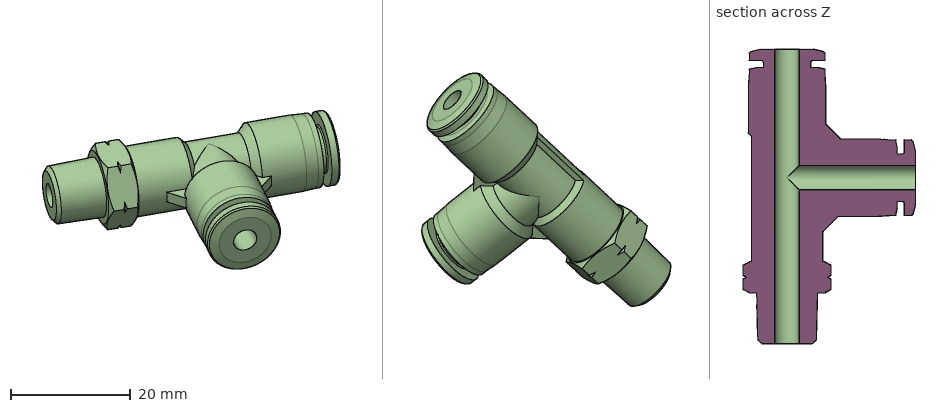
import cadquery as cq
import math


neck_radius = 5.05
rib_thickness = 1.95
bore_radius = 2.0

port_radius = 6.5
shoulder_start = 5.95
port_start = shoulder_start + port_radius - neck_radius
taper_start = 15.15
rim_start = 17.25
rim_end = 18.2
rim_radius = 6.35
port_face = 18.45
port_face_radius = 5.15
sleeve_radius = 4.0
collar_start = 19.55
collar_edge = 20.8
collar_bevel = 21.1
collar_bevel_radius = 6.1
port_end = 21.5
port_end_radius = 4.55
sleeve_root_length = 0.25
sleeve_root_radius = 4.2

stem_radius = 6.0
stem_cone_start = 3.55
stem_start = stem_cone_start + stem_radius - neck_radius

hex_start = 14.0
hex_end = 19.35
hex_across_flats = 12.75
hex_corner_radius = hex_across_flats / math.sqrt(3)
hex_face_radius = 6.25
hex_bevel_angle = math.radians(30)
groove_bottom_radius = 6.85
groove_half_width = 0.3

thread_end = 27.8
thread_root_radius = 5.15
thread_tip_radius = 4.95
thread_bevel_length = 0.65
thread_face_radius = 4.2

port_web_reach = 15.5
stem_web_reach = 15.05


def turned(profile):
    """Revolve (radius, distance) points about the Y axis."""
    outline = [(0, profile[0][1])] + profile + [(0, profile[-1][1])]
    return cq.Workplane("XY").polyline(outline).close().revolve(360, (0, 0, 0), (0, 1, 0))


def plate(outline):
    """Flat web of rib thickness, centred on the XY plane."""
    return cq.Workplane("XY").polyline(outline).close().extrude(rib_thickness / 2, both=True)


def make_port():
    """Port body with release collar, pointing along +Y from the tee centre."""
    return turned([
        (neck_radius, 0),
        (neck_radius, shoulder_start),
        (port_radius, port_start),
        (port_radius, taper_start),
        (rim_radius, rim_start),
        (rim_radius, rim_end),
        (port_face_radius, port_face),
        (sleeve_radius, port_face),
        (sleeve_radius, collar_start - sleeve_root_length),
        (sleeve_root_radius, collar_start),
        (rim_radius, collar_start),
        (rim_radius, collar_edge),
        (collar_bevel_radius, collar_bevel),
        (port_end_radius, port_end),
    ])


def make_stem():
    """Round body between the tee centre and the hexagon."""
    return turned([
        (neck_radius, 0),
        (neck_radius, -stem_cone_start),
        (stem_radius, -stem_start),
        (stem_radius, -hex_start),
    ])


def make_hexagon():
    """Hexagon with bevelled corners and a V groove across each corner."""
    middle = -(hex_start + hex_end) / 2
    bevel_length = (hex_corner_radius - hex_face_radius) * math.tan(hex_bevel_angle)
    prism = (
        cq.Workplane("XZ", origin=(0, -hex_start, 0))
        .polygon(6, 2 * hex_corner_radius)
        .extrude(hex_end - hex_start)
    )
    envelope = turned([
        (hex_face_radius, -hex_start),
        (hex_corner_radius, -hex_start - bevel_length),
        (hex_corner_radius, middle + groove_half_width),
        (groove_bottom_radius, middle),
        (hex_corner_radius, middle - groove_half_width),
        (hex_corner_radius, -hex_end + bevel_length),
        (hex_face_radius, -hex_end),
    ])
    return prism.intersect(envelope)


def make_thread():
    """Tapered plain thread body with a bevelled tip."""
    return turned([
        (thread_root_radius, -hex_end),
        (thread_tip_radius, -thread_end + thread_bevel_length),
        (thread_face_radius, -thread_end),
    ])


def make_back_rib():
    """Rib bridging the waist opposite the branch, its outer face flush with the round stem."""
    strip = plate([
        (0, -stem_start),
        (-port_radius, -stem_start),
        (-port_radius, port_start),
        (0, port_start),
    ])
    return strip.intersect(turned([(stem_radius, -stem_start), (stem_radius, port_start)]))


def make_webs():
    """Triangular webs in the two corners between run and branch."""
    return plate([(0, port_web_reach), (port_web_reach, 0), (0, 0)]).union(
        plate([(0, -stem_web_reach), (stem_web_reach, 0), (0, 0)])
    )


def make_bores():
    """Through bore along the run and a bore from the tee centre out of the branch."""
    run = cq.Workplane("XZ", origin=(0, port_end, 0)).circle(bore_radius).extrude(port_end + thread_end)
    branch = cq.Workplane("YZ").circle(bore_radius).extrude(port_end)
    return run.union(branch)


run_port = make_port()
branch_port = make_port().rotate((0, 0, 0), (0, 0, 1), -90)

body = run_port.union(make_stem())
body = body.union(branch_port)
body = body.union(make_back_rib())
body = body.union(make_webs())
body = body.union(make_hexagon())
body = body.union(make_thread())

result = body.cut(make_bores())